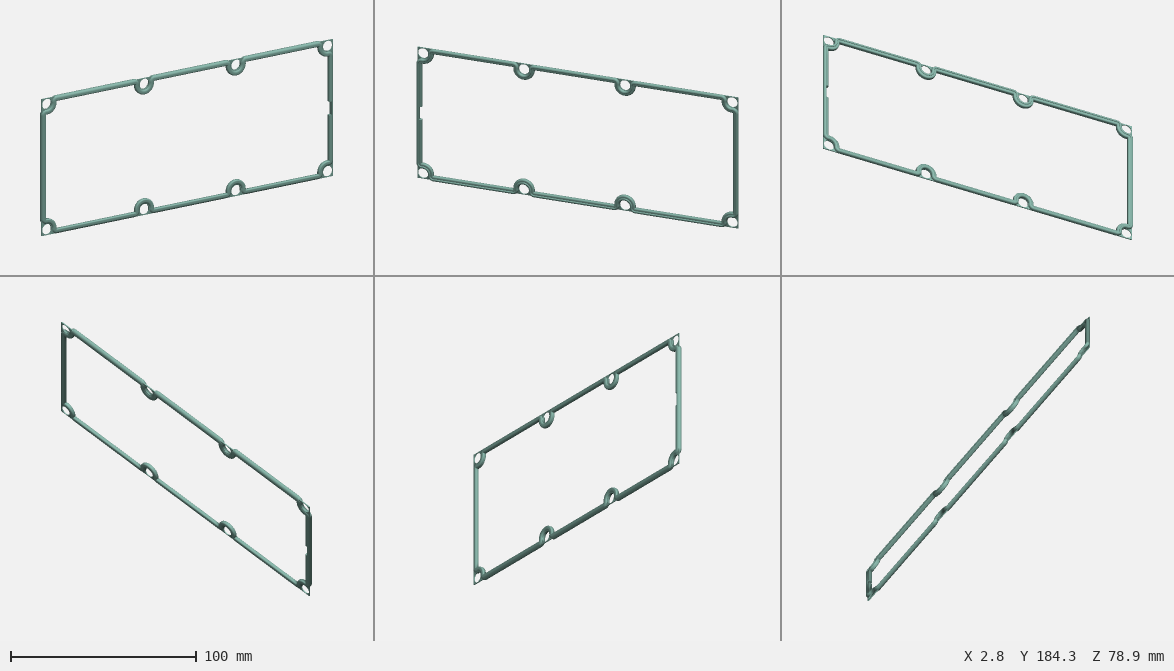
import cadquery as cq
import math

LENGTH = 184.3
HEIGHT = 78.9
THICKNESS = 2.8

FRONT_X = -THICKNESS / 2
BACK_X = THICKNESS / 2
SEAL_WIDTH = 3.0
LIP_OUTER_RADIUS = 1.01
LIP_INNER_RADIUS = 0.46
FLANGE_RADIUS = 0.7
BACK_RADIUS = 1.5
LIP_WIDTH = LIP_OUTER_RADIUS + LIP_INNER_RADIUS

HOLE_DIAMETER = 5.9
HOLE_EDGE_DISTANCE = 3.6
MIDDLE_HOLES_Y = (30.8, -27.0)
PLATE_FRONT_X = 0.2
PLATE_THICKNESS = 0.5
PLATE_INSET = 0.28
PLATE_REACH = 5.3

RING_INNER_RADIUS = 3.04
RING_OUTER_RADIUS = RING_INNER_RADIUS + SEAL_WIDTH
PLATE_DISC_RADIUS = (RING_INNER_RADIUS + RING_OUTER_RADIUS) / 2
ELBOW_INNER_RADIUS = 0.1
ELBOW_OUTER_RADIUS = ELBOW_INNER_RADIUS + SEAL_WIDTH
ELBOW_RISE = HOLE_EDGE_DISTANCE - ELBOW_OUTER_RADIUS
ELBOW_OFFSET = math.sqrt((RING_INNER_RADIUS + ELBOW_OUTER_RADIUS) ** 2 - ELBOW_RISE**2)
ELBOW_ANGLE = math.degrees(math.atan2(ELBOW_RISE, ELBOW_OFFSET))

NOTCH_HEIGHT = 7.7

CORNER_Y = LENGTH / 2 - HOLE_EDGE_DISTANCE
HOLE_Z = HEIGHT / 2 - HOLE_EDGE_DISTANCE


def on_arc(center_u, center_x, radius, toward_u, toward_x):
    """Midpoint of a quarter arc that bulges toward the given signs."""
    diagonal = radius * math.sqrt(0.5)
    return (center_u + toward_u * diagonal, center_x + toward_x * diagonal)


def seal_section(plane):
    """Closed section; the plane's x runs from the outer edge inward and its y along +X."""
    lip_outer_x = FRONT_X + LIP_OUTER_RADIUS
    flange_x = FRONT_X + LIP_INNER_RADIUS
    flange_end_u = SEAL_WIDTH - FLANGE_RADIUS
    flange_front_x = flange_x + FLANGE_RADIUS
    flange_back_x = BACK_X - FLANGE_RADIUS
    back_outer_x = BACK_X - BACK_RADIUS

    lip_outer_mid = on_arc(LIP_OUTER_RADIUS, lip_outer_x, LIP_OUTER_RADIUS, -1, -1)
    lip_inner_mid = on_arc(LIP_OUTER_RADIUS, flange_x, LIP_INNER_RADIUS, 1, -1)
    flange_front_mid = on_arc(flange_end_u, flange_front_x, FLANGE_RADIUS, 1, -1)
    flange_back_mid = on_arc(flange_end_u, flange_back_x, FLANGE_RADIUS, 1, 1)
    back_mid = on_arc(BACK_RADIUS, back_outer_x, BACK_RADIUS, -1, 1)
    return (
        cq.Workplane(plane)
        .moveTo(0, lip_outer_x)
        .threePointArc(lip_outer_mid, (LIP_OUTER_RADIUS, FRONT_X))
        .threePointArc(lip_inner_mid, (LIP_WIDTH, flange_x))
        .lineTo(flange_end_u, flange_x)
        .threePointArc(flange_front_mid, (SEAL_WIDTH, flange_front_x))
        .lineTo(SEAL_WIDTH, flange_back_x)
        .threePointArc(flange_back_mid, (flange_end_u, BACK_X))
        .lineTo(BACK_RADIUS, BACK_X)
        .threePointArc(back_mid, (0, back_outer_x))
        .close()
    )


def section_plane(y, z, inward_y, inward_z):
    """Plane at a point of the outer edge, with its x pointing inward and its y along +X."""
    inward = cq.Vector(0, inward_y, inward_z)
    across = inward.cross(cq.Vector(1, 0, 0))
    return cq.Plane(origin=(0, y, z), xDir=inward.toTuple(), normal=across.toTuple())


def top_bar(low_y, high_y):
    """Straight seal along the top edge."""
    return seal_section(section_plane(high_y, HEIGHT / 2, 0, -1)).extrude(high_y - low_y)


def side_bar():
    """Straight seal along the +Y edge, between the bends of its two corners."""
    half_height = HOLE_Z - ELBOW_OFFSET
    return seal_section(section_plane(LENGTH / 2, -half_height, -1, 0)).extrude(2 * half_height)


def bend(center_y, center_z, edge_radius, inward_sign, start_angle, sweep):
    """Seal turned about an X axis; angles run from +Y to +Z.

    The outer edge follows edge_radius. The seal lies outside it for inward_sign 1, inside it for -1.
    """
    out_y = math.cos(math.radians(start_angle))
    out_z = math.sin(math.radians(start_angle))
    plane = section_plane(
        center_y + edge_radius * out_y,
        center_z + edge_radius * out_z,
        inward_sign * out_y,
        inward_sign * out_z,
    )
    axis_u = -inward_sign * edge_radius
    return seal_section(plane).revolve(sweep, (axis_u, 0), (axis_u, 1))


def ring(hole_y, start_angle, end_angle):
    """Seal that curves around a hole."""
    return bend(hole_y, HOLE_Z, RING_INNER_RADIUS, 1, start_angle, end_angle - start_angle)


def elbow(hole_y, offset_y, offset_z, start_angle):
    """Quarter bend plus the small angle that makes it meet the ring."""
    return bend(hole_y + offset_y, HOLE_Z + offset_z, ELBOW_OUTER_RADIUS, -1, start_angle, 90 + ELBOW_ANGLE)


def plate_block(low_y, high_y, low_z, high_z):
    """Rectangular piece of plate."""
    return cq.Workplane("XY").box(
        PLATE_THICKNESS, high_y - low_y, high_z - low_z, centered=False
    ).translate((PLATE_FRONT_X, low_y, low_z))


def hole_disc(hole_y, diameter):
    """Disc as thick as the plate, centred on a hole."""
    return (
        cq.Workplane("YZ", origin=(PLATE_FRONT_X, 0, 0))
        .center(hole_y, HOLE_Z)
        .circle(diameter / 2)
        .extrude(PLATE_THICKNESS)
    )


def plate(hole_y, high_y, in_corner):
    """Plate around one hole, kept just inside the outer edges of the seal.

    It spreads from the hole toward the top edge and, in a corner, toward the side edge too.
    """
    limit_y = LENGTH / 2 - PLATE_INSET
    limit_z = HEIGHT / 2 - PLATE_INSET
    sheet = hole_disc(hole_y, 2 * PLATE_DISC_RADIUS)
    sheet = sheet.union(plate_block(hole_y - PLATE_REACH, high_y, HOLE_Z, limit_z))
    if in_corner:
        sheet = sheet.union(plate_block(hole_y, high_y, HOLE_Z - PLATE_REACH, limit_z))
    frame_area = plate_block(-limit_y, limit_y, -limit_z, limit_z)
    return sheet.intersect(frame_area).cut(hole_disc(hole_y, HOLE_DIAMETER))


def middle_tab(hole_y):
    """Half-round bulge of the top edge with a screw hole."""
    return (
        plate(hole_y, hole_y + PLATE_REACH, False)
        .union(ring(hole_y, 180 - ELBOW_ANGLE, 360 + ELBOW_ANGLE))
        .union(elbow(hole_y, ELBOW_OFFSET, ELBOW_RISE, 90))
        .union(elbow(hole_y, -ELBOW_OFFSET, ELBOW_RISE, -ELBOW_ANGLE))
    )


def corner():
    """Top +Y corner, where the seal passes inside the screw hole."""
    return (
        plate(CORNER_Y, LENGTH / 2, True)
        .union(ring(CORNER_Y, 180 - ELBOW_ANGLE, 270 + ELBOW_ANGLE))
        .union(elbow(CORNER_Y, -ELBOW_OFFSET, ELBOW_RISE, -ELBOW_ANGLE))
        .union(elbow(CORNER_Y, ELBOW_RISE, -ELBOW_OFFSET, 0))
    )


def top_edge():
    """Both corners, the middle tabs and the bars between them."""
    top_corner = corner()
    edge = top_corner.union(top_corner.mirror("XZ"))
    for hole_y in MIDDLE_HOLES_Y:
        edge = edge.union(middle_tab(hole_y))
    holes_y = (CORNER_Y, *MIDDLE_HOLES_Y, -CORNER_Y)
    for high_hole, low_hole in zip(holes_y, holes_y[1:]):
        edge = edge.union(top_bar(low_hole + ELBOW_OFFSET, high_hole - ELBOW_OFFSET))
    return edge


def flange_notch():
    """Block that removes the flange but leaves the lip."""
    return cq.Workplane("XY").box(THICKNESS, SEAL_WIDTH, NOTCH_HEIGHT).translate(
        (0, LENGTH / 2 - LIP_WIDTH - SEAL_WIDTH / 2, 0)
    )


top = top_edge()
side = side_bar()
frame = top.union(top.mirror("XY")).union(side.cut(flange_notch())).union(side.mirror("XZ"))
result = frame.solids().val()